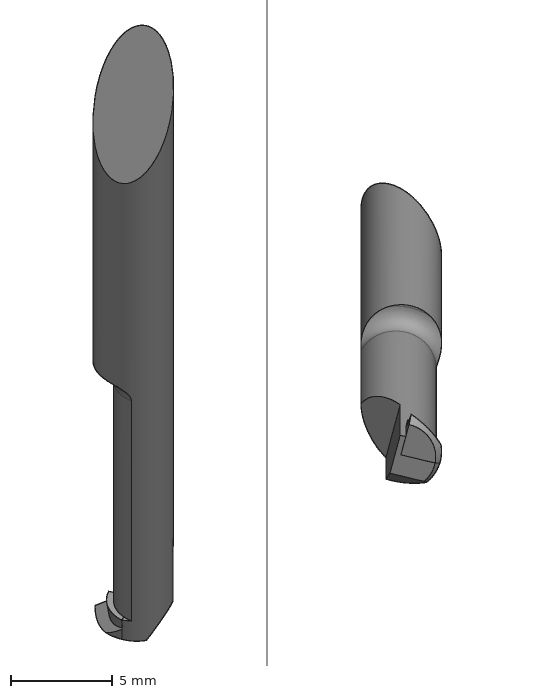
import cadquery as cq
import math

length = 35.7
shank_radius = 2.0
slant_angle = 60.0
slant_slope = math.tan(math.radians(slant_angle))

neck_axis_x = 1.07
shoulder_z = 16.18
flare_radius = 0.95

flat_y = 0.3
flat_top_z = 4.5
heel_x = 1.15
heel_height = 1.43

seat_x = 0.07
insert_height = 1.43
core_axis_x = 0.9
core_top_radius = 2.18
core_bottom_radius = 1.95
rake_y = 0.0
lip_root_x = -1.1
lip_root_z = 1.0
tip_z = 0.35
lip_fall = 0.5

clearance_axis_x = 0.18
clearance_top_radius = shank_radius + clearance_axis_x
clearance_bottom_radius = 1.75

margin = 3.57


def box(x_range, y_range, z_range):
    """Box between the given limits."""
    lows, highs = zip(x_range, y_range, z_range)
    size = [high - low for low, high in zip(lows, highs)]
    return cq.Workplane("XY").box(*size, centered=False).translate(lows)


def cylinder():
    return cq.Workplane("XY").circle(shank_radius).extrude(length)


def slanted_top():
    """Prism above the slanted upper end."""
    front_z = length - 2 * shank_radius * slant_slope
    outline = [(-shank_radius, front_z), (shank_radius, length),
               (shank_radius, length + margin), (-shank_radius, length + margin)]
    return cq.Workplane("YZ").polyline(outline).close().extrude(shank_radius, both=True)


def neck_envelope():
    """Revolved space that leaves the offset neck and its concave flare."""
    flare_z = shoulder_z - flare_radius
    flare_end = shank_radius + flare_radius
    diagonal = flare_radius * math.sqrt(0.5)
    outer_radius = shank_radius + neck_axis_x + margin
    return (
        cq.Workplane("XZ")
        .moveTo(0, 0)
        .lineTo(shank_radius, 0)
        .lineTo(shank_radius, flare_z)
        .threePointArc((flare_end - diagonal, flare_z + diagonal), (flare_end, shoulder_z))
        .lineTo(outer_radius, shoulder_z)
        .lineTo(outer_radius, length)
        .lineTo(0, length)
        .close()
        .revolve(360, (0, 0, 0), (0, 1, 0))
        .translate((neck_axis_x, 0, 0))
    )


def back_relief():
    """Space behind the +Y flat, with its slanted run-out."""
    runout_z = flat_top_z + (shank_radius - flat_y) * slant_slope
    outline = [(flat_y, 0), (flat_y, flat_top_z), (shank_radius, runout_z), (shank_radius, 0)]
    return cq.Workplane("YZ").polyline(outline).close().extrude(shank_radius, both=True)


def heel_relief():
    outline = [(heel_x, 0), (shank_radius, heel_height), (shank_radius, 0)]
    return cq.Workplane("XZ").polyline(outline).close().extrude(shank_radius, both=True)


def cone(axis_x, bottom_radius, top_radius, height):
    """Vertical frustum standing on the bottom plane."""
    solid = cq.Solid.makeCone(bottom_radius, top_radius, height)
    return cq.Workplane(solid).translate((axis_x, 0, 0))


def clearance_envelope():
    """Space inside the clearance cone and everything above it."""
    lower = cone(clearance_axis_x, clearance_bottom_radius, clearance_top_radius, tip_z)
    upper = box((-margin, margin), (-margin, margin), (tip_z, length))
    return lower.union(upper)


def make_bar():
    neck_and_shank = cylinder().intersect(neck_envelope())
    foot = cylinder().intersect(
        box((seat_x, shank_radius), (-shank_radius, shank_radius), (0, insert_height))
    )
    upper = neck_and_shank.cut(
        box((-margin, seat_x), (-margin, rake_y), (0, insert_height))
    )
    bar = upper.union(foot).cut(slanted_top()).cut(back_relief()).cut(heel_relief())
    return bar.intersect(clearance_envelope())


def make_lip():
    """Pointed cutting lip with a top that falls toward the tip and toward -Y."""
    tip_x = -shank_radius
    root_slope = (lip_root_z - tip_z) / (lip_root_x - tip_x)
    inner_z = tip_z + root_slope * (seat_x - tip_x)
    depth = shank_radius
    outline = [(tip_x, 0), (tip_x, tip_z), (seat_x, inner_z), (seat_x, 0)]
    wedge = cq.Workplane("XZ", origin=(0, rake_y, 0)).polyline(outline).close().extrude(depth)
    side_fall = lip_fall * depth
    top_points = [
        cq.Vector(tip_x, rake_y, tip_z),
        cq.Vector(seat_x, rake_y, inner_z),
        cq.Vector(seat_x, rake_y - depth, inner_z - side_fall),
        cq.Vector(tip_x, rake_y - depth, tip_z - side_fall),
    ]
    top_face = cq.Face.makeFromWires(cq.Wire.makePolygon(top_points, close=True))
    above = cq.Solid.extrudeLinear(top_face, cq.Vector(0, 0, margin))
    return wedge.cut(cq.Workplane(above))


def make_insert():
    core = cone(core_axis_x, core_bottom_radius, core_top_radius, insert_height)
    core = core.intersect(box((-margin, seat_x), (-margin, rake_y), (0, insert_height)))
    return core.union(make_lip()).intersect(cylinder()).intersect(clearance_envelope())


bar = make_bar()
insert = make_insert()

result = cq.Compound.makeCompound([bar.val(), insert.val()])